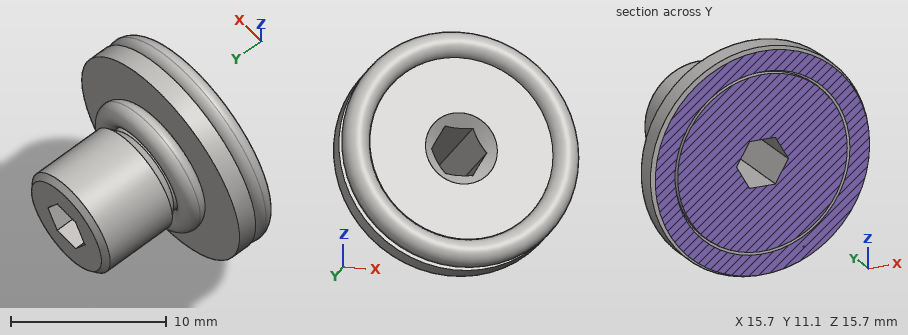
import cadquery as cq
import math

total_length = 11.07
ring_thickness = 1.78
flange_thickness = 1.36
hub_front = 0.6
shoulder_length = 0.53
ring_overlap = 0.01

flange_radius = 7.84
face_ring_outer_radius = 7.86
shank_ring_outer_radius = 4.97
shank_radius = 3.875

end_chamfer = 0.4
hex_sides = 6
hex_across_flats = 3.18
countersink_radius = 2.39
countersink_half_angle = 45

tube_radius = ring_thickness / 2
face_ring_radius = face_ring_outer_radius - tube_radius
shank_ring_radius = shank_ring_outer_radius - tube_radius
flange_front = ring_thickness - ring_overlap
flange_back = flange_front + flange_thickness
shank_ring_center = flange_back + tube_radius - ring_overlap
shank_ring_back = shank_ring_center + tube_radius
hub_radius = face_ring_radius - tube_radius + ring_overlap
neck_radius = shank_ring_radius - tube_radius + ring_overlap
shank_start = shank_ring_back + shoulder_length
taper_start = shank_start - (shank_radius - neck_radius)


def make_screw_body():
    """Hub, flange, neck, tapered shoulder and chamfered shank turned about Y."""
    return (
        cq.Workplane("XY")
        .moveTo(0, hub_front)
        .lineTo(hub_radius, hub_front)
        .lineTo(hub_radius, flange_front)
        .lineTo(flange_radius, flange_front)
        .lineTo(flange_radius, flange_back)
        .lineTo(neck_radius, flange_back)
        .lineTo(neck_radius, taper_start)
        .lineTo(shank_radius, shank_start)
        .lineTo(shank_radius, total_length - end_chamfer)
        .lineTo(shank_radius - end_chamfer, total_length)
        .lineTo(0, total_length)
        .close()
        .revolve(360, (0, 0, 0), (0, 1, 0))
    )


def make_seal_ring(ring_radius, center_y):
    """O-ring of circular section, coaxial with Y."""
    return (
        cq.Workplane("XY")
        .center(ring_radius, center_y)
        .circle(tube_radius)
        .revolve(360, (-ring_radius, 0, 0), (-ring_radius, 1, 0))
    )


def make_hex_bore():
    """Hexagonal bore along the whole length, with corners on +X and -X."""
    across_corners = hex_across_flats / math.cos(math.pi / hex_sides)
    return cq.Workplane("XZ").polygon(hex_sides, across_corners).extrude(-total_length)


def make_countersink():
    """Conical mouth of the bore, open at the hub face."""
    depth = countersink_radius / math.tan(math.radians(countersink_half_angle))
    return (
        cq.Workplane("XY")
        .moveTo(0, hub_front)
        .lineTo(countersink_radius, hub_front)
        .lineTo(0, hub_front + depth)
        .close()
        .revolve(360, (0, 0, 0), (0, 1, 0))
    )


result = (
    make_screw_body()
    .union(make_seal_ring(face_ring_radius, tube_radius))
    .union(make_seal_ring(shank_ring_radius, shank_ring_center))
    .cut(make_hex_bore())
    .cut(make_countersink())
)